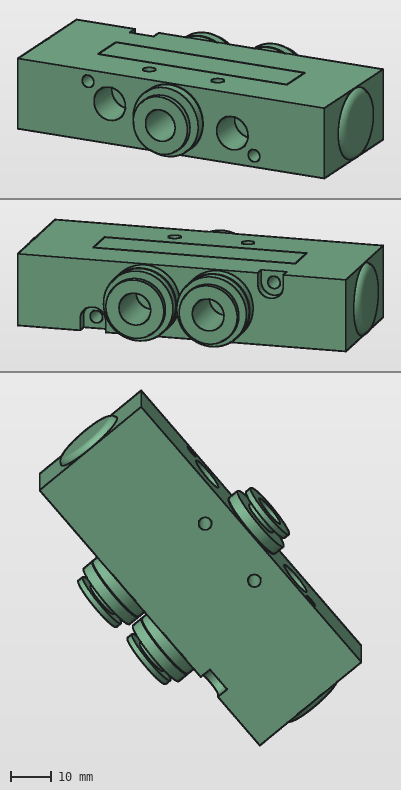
import cadquery as cq

BODY_LENGTH = 85.0
BODY_DEPTH = 33.0
BODY_HEIGHT = 18.5
FRONT_Y = -BODY_DEPTH / 2
BACK_Y = BODY_DEPTH / 2
TOP_Z = BODY_HEIGHT / 2

COLLAR_DIAMETER = 18.0
COLLAR_LENGTH = 3.0
NECK_DIAMETER = 9.0
NECK_LENGTH = 1.5
RELEASE_RING_DIAMETER = 15.0
RELEASE_RING_LENGTH = 1.5
TUBE_BORE_DIAMETER = 8.2
TUBE_BORE_DEPTH = 15.0
SEAM_WIDTH = 0.2
SEAM_DEPTH = 0.1
BACK_FITTING_X = 9.5
BACK_SPACER_LENGTH = 3.0

CAP_DIAMETER = 18.5
CAP_HEIGHT = 1.5
CAP_ROUNDING = 2.2
CAP_Y = 0.4

LABEL_LENGTH = 52.3
LABEL_WIDTH = 10.0
LABEL_DEPTH = 0.1
LABEL_Y = 0.5

VERTICAL_HOLE_DIAMETER = 3.2
VERTICAL_HOLE_X = 9.5
VERTICAL_HOLE_Y = -9.5
CROSS_HOLE_DIAMETER = 3.2
CROSS_HOLE_X = 23.0
CROSS_HOLE_Z = 6.25
NUT_SLOT_WIDTH = 6.6
NUT_SLOT_DEPTH = 3.0
EXHAUST_DIAMETER = 8.7
EXHAUST_DEPTH = 10.0
EXHAUST_X = 17.0
EXHAUST_Z = 1.25


def y_cylinder(diameter, x, y, z, length, direction):
    """Cylinder starting at (x, y, z) and running along +Y (direction 1) or -Y (direction -1)."""
    axis = cq.Vector(0, direction, 0)
    return cq.Workplane(cq.Solid.makeCylinder(diameter / 2, length, cq.Vector(x, y, z), axis))


def add_fitting(part, x, face_y, direction, spacer_length):
    """Add a tube fitting, pointing along direction, on an optional spacer over the body face."""
    seam_y = face_y + direction * spacer_length
    sections = [
        (COLLAR_DIAMETER - 2 * SEAM_DEPTH, SEAM_WIDTH),
        (COLLAR_DIAMETER, COLLAR_LENGTH - SEAM_WIDTH),
        (NECK_DIAMETER, NECK_LENGTH),
        (RELEASE_RING_DIAMETER, RELEASE_RING_LENGTH),
    ]
    if spacer_length > 0:
        part = part.union(y_cylinder(COLLAR_DIAMETER, x, face_y, 0, spacer_length, direction))
    y = seam_y
    for diameter, length in sections:
        part = part.union(y_cylinder(diameter, x, y, 0, length, direction))
        y += direction * length
    return part.cut(y_cylinder(TUBE_BORE_DIAMETER, x, y, 0, TUBE_BORE_DEPTH, -direction))


def make_end_caps():
    """One rounded bar along X whose two ends stand out of the body as end caps."""
    return (
        cq.Workplane("YZ")
        .center(CAP_Y, 0)
        .circle(CAP_DIAMETER / 2)
        .extrude(BODY_LENGTH / 2 + CAP_HEIGHT, both=True)
        .edges("%CIRCLE")
        .fillet(CAP_ROUNDING)
    )


def cut_label_recess(part):
    recess = cq.Workplane().box(LABEL_LENGTH, LABEL_WIDTH, LABEL_DEPTH, centered=(True, True, False))
    return part.cut(recess.translate((0, LABEL_Y, TOP_Z - LABEL_DEPTH)))


def cut_vertical_holes(part):
    holes = (
        cq.Workplane()
        .pushPoints([(-VERTICAL_HOLE_X, VERTICAL_HOLE_Y), (VERTICAL_HOLE_X, VERTICAL_HOLE_Y)])
        .circle(VERTICAL_HOLE_DIAMETER / 2)
        .extrude(BODY_HEIGHT / 2, both=True)
    )
    return part.cut(holes)


def cut_cross_hole(part, side):
    """Cross hole with a back slot that opens on the top (side 1) or the bottom (side -1)."""
    x = -side * CROSS_HOLE_X
    z = side * CROSS_HOLE_Z
    hole = y_cylinder(CROSS_HOLE_DIAMETER, x, FRONT_Y, z, BODY_DEPTH, 1)
    slot_round = y_cylinder(NUT_SLOT_WIDTH, x, BACK_Y, z, NUT_SLOT_DEPTH, -1)
    opening_height = TOP_Z - CROSS_HOLE_Z
    slot_opening = cq.Workplane().box(NUT_SLOT_WIDTH, NUT_SLOT_DEPTH, opening_height).translate(
        (x, BACK_Y - NUT_SLOT_DEPTH / 2, z + side * opening_height / 2)
    )
    return part.cut(hole).cut(slot_round).cut(slot_opening)


def cut_exhaust_port(part, side):
    x = -side * EXHAUST_X
    z = side * EXHAUST_Z
    return part.cut(y_cylinder(EXHAUST_DIAMETER, x, FRONT_Y, z, EXHAUST_DEPTH, 1))


result = cq.Workplane().box(BODY_LENGTH, BODY_DEPTH, BODY_HEIGHT)
result = result.union(make_end_caps())
result = add_fitting(result, 0, FRONT_Y, -1, 0)
for fitting_x in (-BACK_FITTING_X, BACK_FITTING_X):
    result = add_fitting(result, fitting_x, BACK_Y, 1, BACK_SPACER_LENGTH)
result = cut_label_recess(result)
result = cut_vertical_holes(result)
for hole_side in (1, -1):
    result = cut_cross_hole(result, hole_side)
    result = cut_exhaust_port(result, hole_side)